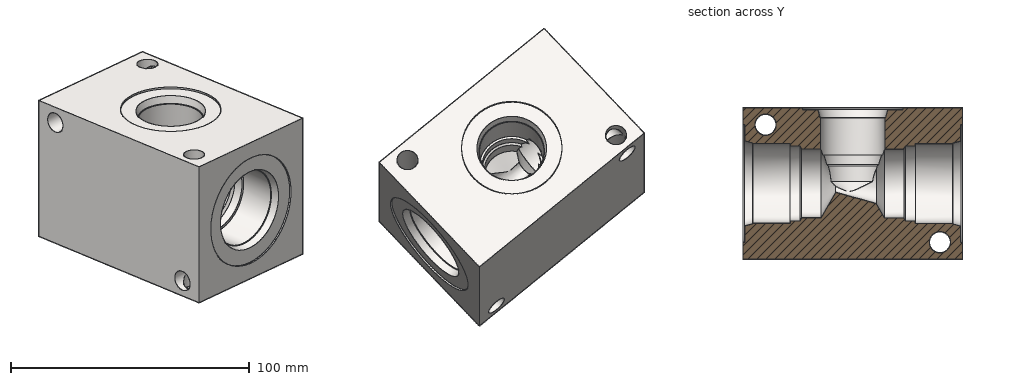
import cadquery as cq
import math

LENGTH = 92.08
WIDTH = 63.5
HEIGHT = 63.5

MOUNT_DIAMETER = 8.74
MOUNT_END_INSET = 9.53
MOUNT_SIDE_INSET = 7.14

SPOTFACE_DEPTH = 0.8
SEAL_CONE_ANGLE = math.radians(15)
LEAD_IN_ANGLE = math.radians(45)
DRILL_TIP_ANGLE = math.radians(60)

THREAD_DEPTH = 19.8
TAP_DRILL_DEPTH = 23.9

END_SPOTFACE_DIAMETER = 49.12
END_SEAL_DIAMETER = 35.51
END_LEAD_IN_DIAMETER = 33.76
END_THREAD_DIAMETER = 33.34
END_TAP_DRILL_DIAMETER = 31.27
END_BORE_DIAMETER = 28.57
END_BORE_DEPTH = 32.75

TOP_SPOTFACE_DIAMETER = 42.04
TOP_SEAL_DIAMETER = 29.16
TOP_LEAD_IN_DIAMETER = 27.43
TOP_THREAD_DIAMETER = 26.99
TOP_TAP_DRILL_DIAMETER = 24.92
TOP_BORE_DIAMETER = 23.0
TOP_BORE_DEPTH = 30.9

PASSAGE_SMALL_X = -7.15
PASSAGE_LARGE_X = 9.9


def cone_depth(large_diameter, small_diameter, half_angle):
    """Axial length of a cone between two diameters."""
    return (large_diameter - small_diameter) / 2 / math.tan(half_angle)


def port_cutter(spotface, seal, lead_in, thread, tap_drill, bore, bore_depth):
    """Port cavity on the Z axis, opening at Z = 0 and running down to its drill point."""
    seal_end = SPOTFACE_DEPTH + cone_depth(seal, lead_in, SEAL_CONE_ANGLE)
    lead_in_end = seal_end + cone_depth(lead_in, thread, LEAD_IN_ANGLE)
    tap_tip_end = TAP_DRILL_DEPTH + cone_depth(tap_drill, bore, DRILL_TIP_ANGLE)
    tip_depth = bore_depth + cone_depth(bore, 0, DRILL_TIP_ANGLE)
    profile = [
        (0, 0),
        (spotface / 2, 0),
        (spotface / 2, -SPOTFACE_DEPTH),
        (seal / 2, -SPOTFACE_DEPTH),
        (lead_in / 2, -seal_end),
        (thread / 2, -lead_in_end),
        (thread / 2, -THREAD_DEPTH),
        (tap_drill / 2, -THREAD_DEPTH),
        (tap_drill / 2, -TAP_DRILL_DEPTH),
        (bore / 2, -tap_tip_end),
        (bore / 2, -bore_depth),
        (0, -tip_depth),
    ]
    return cq.Workplane("XZ").polyline(profile).close().revolve(360, (0, 0, 0), (0, 1, 0))


def end_port_cutter(side):
    """End port opening on the +X face (side = 1) or the -X face (side = -1)."""
    port = port_cutter(
        END_SPOTFACE_DIAMETER,
        END_SEAL_DIAMETER,
        END_LEAD_IN_DIAMETER,
        END_THREAD_DIAMETER,
        END_TAP_DRILL_DIAMETER,
        END_BORE_DIAMETER,
        END_BORE_DEPTH,
    )
    turned = port.rotate((0, 0, 0), (0, 1, 0), side * 90)
    return turned.translate((side * LENGTH / 2, 0, 0))


def top_port_cutter():
    port = port_cutter(
        TOP_SPOTFACE_DIAMETER,
        TOP_SEAL_DIAMETER,
        TOP_LEAD_IN_DIAMETER,
        TOP_THREAD_DIAMETER,
        TOP_TAP_DRILL_DIAMETER,
        TOP_BORE_DIAMETER,
        TOP_BORE_DEPTH,
    )
    return port.translate((0, 0, HEIGHT / 2))


def end_tip_radius(x):
    """Radius of the end ports' drill points at a distance |x| from the middle of the block."""
    bore_end = LENGTH / 2 - END_BORE_DEPTH
    return END_BORE_DIAMETER / 2 - (bore_end - abs(x)) * math.tan(DRILL_TIP_ANGLE)


def passage_cutter():
    """Taper along X whose two rims lie on the drill points of the end ports."""
    profile = [
        (PASSAGE_SMALL_X, 0),
        (PASSAGE_SMALL_X, end_tip_radius(PASSAGE_SMALL_X)),
        (PASSAGE_LARGE_X, end_tip_radius(PASSAGE_LARGE_X)),
        (PASSAGE_LARGE_X, 0),
    ]
    return cq.Workplane("XY").polyline(profile).close().revolve(360, (0, 0, 0), (1, 0, 0))


def drill_mounting_holes(body, face):
    """Diagonal pair of through holes: upper left and lower right on the given face."""
    x = LENGTH / 2 - MOUNT_END_INSET
    across = WIDTH / 2 - MOUNT_SIDE_INSET
    plane = body.faces(face).workplane(centerOption="CenterOfBoundBox")
    return plane.pushPoints([(-x, across), (x, -across)]).hole(MOUNT_DIAMETER)


block = cq.Workplane("XY").box(LENGTH, WIDTH, HEIGHT)
for drilled_face in ("<Y", ">Z"):
    block = drill_mounting_holes(block, drilled_face)
for port_side in (-1, 1):
    block = block.cut(end_port_cutter(port_side))
block = block.cut(passage_cutter())
result = block.cut(top_port_cutter())